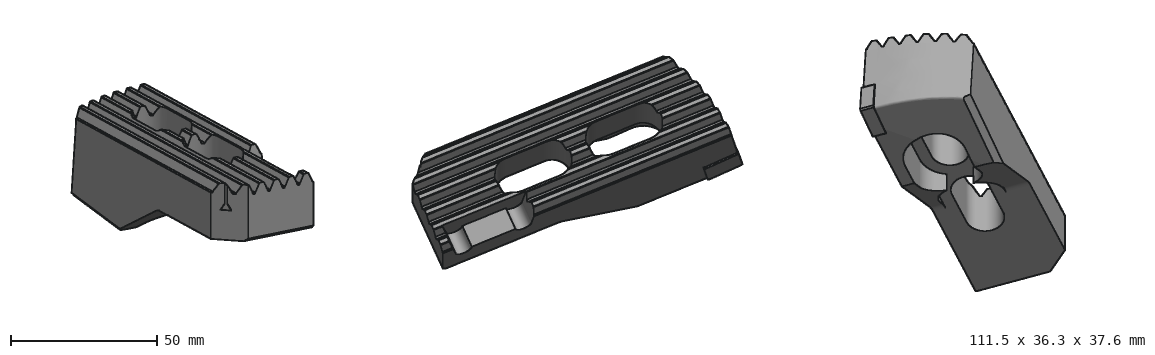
import cadquery as cq
import math

LENGTH = 111.5
JAW_WIDTH = 35.7
TOP_Z = 20.5
FLOOR_Z = -16.6
TILT = 6.3
TILT_RISE = math.tan(math.radians(TILT))

TOOTH_COUNT = 6
TOOTH_PITCH = JAW_WIDTH / TOOTH_COUNT
TOOTH_CREST = 1.6
CREST_BEVEL_WIDTH = 0.2
CREST_BEVEL_DROP = 0.2
VALLEY_WIDTH = 0.9
VALLEY_SAG = 0.5
FLANK_HEIGHT = 3.2
VALLEY_Z = TOP_Z - FLANK_HEIGHT - VALLEY_SAG

LEAN_START_Z = 16.2
FACE_FLAT_Y = 31.5
FACE_REAR_X = 3.7
FACE_FLAT_X = 4.2
FACE_FRONT_X = 13.8
FACE_SAG = 1.9

STEP_X = 67.6
RAMP_ANGLE = 30.0
STEP_RADIUS = 5.6
END_BEVEL = 1.1
CORNER_X = 102.6
CORNER_Y = 9.5
UNDER_FRONT_Z = -12.8
UNDER_FRONT_X = FACE_FRONT_X - (LEAN_START_Z - UNDER_FRONT_Z) * TILT_RISE
UNDER_FRONT_CORNER = (UNDER_FRONT_X, 0, UNDER_FRONT_Z)
UNDER_ROLL_RISE = 0.12
FACE_EDGE_RADIUS = 0.9
EDGE_BEVEL = 2.0

SLOT_CENTERS_X = (37.1, 71.0)
SLOT_Y = 20.1
SLOT_LENGTH = 27.4
SLOT_WIDTH = 13.4
BORE_MARGIN = 4.3
BORE_TOP_Z = 0.0

NOTCH_X = 92.5
NOTCH_TOP_LENGTH = 31.4
NOTCH_BASE_LENGTH = 28.3
NOTCH_DEPTH = 8.9
NOTCH_WIDTH = 8.3
RELIEF_RADIUS = 3.0

MARK_DEPTH = 0.3
MARK_LINE_WIDTH = 0.9
MARK_HEAD_WIDTH = 3.8
MARK_HEAD_TOP_Z = 13.2
MARK_HEAD_BASE_Z = 10.8
MARK_X = 106.1

INSERT_LENGTH = 13.0
INSERT_HEIGHT = 12.6
INSERT_REAR_Y = 36.3
INSERT_WIDTH = INSERT_REAR_Y - FACE_FLAT_Y
INSERT_CORNER_Z = -15.7
INSERT_BEVEL = 0.6
SEAT_OVERRUN = 5.6

CLEAR = 66.9


def side_blank():
    """Side outline with thin end, ramp and thick end, extruded across the width."""
    ramp_run = -FLOOR_Z / math.tan(math.radians(RAMP_ANGLE))
    blank = (
        cq.Workplane("XZ")
        .moveTo(-CLEAR, FLOOR_Z)
        .lineTo(STEP_X - ramp_run, FLOOR_Z)
        .lineTo(STEP_X, 0)
        .lineTo(LENGTH - END_BEVEL, 0)
        .lineTo(LENGTH, END_BEVEL)
        .lineTo(LENGTH, TOP_Z)
        .lineTo(-CLEAR, TOP_Z)
        .close()
        .extrude(-JAW_WIDTH)
    )
    step_edge = cq.selectors.NearestToPointSelector((STEP_X, JAW_WIDTH / 2, 0))
    return blank.edges(step_edge).fillet(STEP_RADIUS)


def tooth_valleys():
    """Valleys to cut between the teeth, including half a valley along both sides."""
    half_gap = (TOOTH_PITCH - TOOTH_CREST) / 2
    bevel_y = half_gap - CREST_BEVEL_WIDTH
    bevel_z = TOP_Z - CREST_BEVEL_DROP
    half_valley = VALLEY_WIDTH / 2
    flank_z = TOP_Z - FLANK_HEIGHT
    valley = (
        cq.Workplane("YZ")
        .moveTo(-half_gap, TOP_Z)
        .lineTo(-bevel_y, bevel_z)
        .lineTo(-half_valley, flank_z)
        .threePointArc((0, VALLEY_Z), (half_valley, flank_z))
        .lineTo(bevel_y, bevel_z)
        .lineTo(half_gap, TOP_Z)
        .close()
        .extrude(LENGTH)
    )
    return [valley.translate((0, i * TOOTH_PITCH, 0)) for i in range(TOOTH_COUNT + 1)]


def plan_outline(x_offset):
    """Plan outline with the curved gripping face and the chamfered back corner."""
    chord_x = FACE_FRONT_X - FACE_FLAT_X
    chord = math.hypot(chord_x, FACE_FLAT_Y)
    bulge_x = (FACE_FLAT_X + FACE_FRONT_X) / 2 - FACE_SAG * FACE_FLAT_Y / chord
    bulge_y = FACE_FLAT_Y / 2 - FACE_SAG * chord_x / chord
    return (
        cq.Workplane("XY")
        .moveTo(FACE_REAR_X + x_offset, JAW_WIDTH)
        .lineTo(FACE_FLAT_X + x_offset, FACE_FLAT_Y)
        .threePointArc((bulge_x + x_offset, bulge_y), (FACE_FRONT_X + x_offset, 0))
        .lineTo(CORNER_X, 0)
        .lineTo(LENGTH, CORNER_Y)
        .lineTo(LENGTH, JAW_WIDTH)
        .close()
    )


def plan_envelope():
    """Upright envelope beside the teeth and a lofted, leaning one below them."""
    upper = plan_outline(0).extrude(TOP_Z - LEAN_START_Z).translate((0, 0, LEAN_START_Z))
    drop = LEAN_START_Z - FLOOR_Z
    bottom = plan_outline(-drop * TILT_RISE).wires().val().translate(cq.Vector(0, 0, FLOOR_Z))
    top = plan_outline(0).wires().val().translate(cq.Vector(0, 0, LEAN_START_Z))
    lower = cq.Workplane(cq.Solid.makeLoft([bottom, top], True))
    return upper.union(lower)


def below_plane(point, normal):
    """Large block on the side of a plane that its normal points to."""
    plane = cq.Plane(origin=point, xDir=(1, 0, -normal[0] / normal[2]), normal=normal)
    return cq.Workplane(plane).rect(4 * CLEAR, 4 * CLEAR).extrude(CLEAR)


def sloping_underside():
    """Block below the underside that falls to the back and rises to the front side."""
    return below_plane(UNDER_FRONT_CORNER, (-TILT_RISE, -UNDER_ROLL_RISE, -1))


def face_bottom_middle():
    """Point near the middle of the lower edge of the curved gripping face."""
    middle_y = FACE_FLAT_Y / 2
    middle_x = UNDER_FRONT_X - (FACE_FRONT_X - FACE_FLAT_X) / 2 - FACE_SAG
    return (middle_x, middle_y, UNDER_FRONT_Z - UNDER_ROLL_RISE * middle_y)


def front_edge_bevel():
    """Block that bevels the front lower edge of the thick end at 45 degrees."""
    bevel_start = (UNDER_FRONT_X, 0, UNDER_FRONT_Z + EDGE_BEVEL)
    return below_plane(bevel_start, (-TILT_RISE, -1, -1))


def bolt_slots():
    """Two through slots, each with a wider counterbore from below."""
    centers = [(x, SLOT_Y) for x in SLOT_CENTERS_X]
    slots = (
        cq.Workplane("XY").workplane(offset=-CLEAR)
        .pushPoints(centers).slot2D(SLOT_LENGTH, SLOT_WIDTH).extrude(2 * CLEAR)
    )
    bore_length = SLOT_LENGTH + 2 * BORE_MARGIN
    bore_width = SLOT_WIDTH + 2 * BORE_MARGIN
    for center in centers:
        bore = (
            cq.Workplane("XY").workplane(offset=BORE_TOP_Z)
            .center(*center).slot2D(bore_length, bore_width).extrude(-CLEAR)
        )
        slots = slots.union(bore)
    return slots


def rear_notch():
    """Flared notch with a half-round relief groove at each end of its floor."""
    floor_z = TOP_Z - NOTCH_DEPTH
    half_top = NOTCH_TOP_LENGTH / 2
    half_base = NOTCH_BASE_LENGTH / 2
    half_land = half_base - 2 * RELIEF_RADIUS
    groove_x = half_base - RELIEF_RADIUS
    groove_z = floor_z - RELIEF_RADIUS
    return (
        cq.Workplane("XZ", origin=(NOTCH_X, JAW_WIDTH, 0))
        .moveTo(-half_top, TOP_Z)
        .lineTo(-half_base, floor_z)
        .threePointArc((-groove_x, groove_z), (-half_land, floor_z))
        .lineTo(half_land, floor_z)
        .threePointArc((groove_x, groove_z), (half_base, floor_z))
        .lineTo(half_top, TOP_Z)
        .close()
        .extrude(NOTCH_WIDTH)
    )


def corner_arrow():
    """Shallow line and triangle engraved in the back corner chamfer."""
    run = LENGTH - CORNER_X
    mark_y = (MARK_X - CORNER_X) * CORNER_Y / run
    face = cq.Plane(origin=(MARK_X, mark_y, 0), xDir=(run, CORNER_Y, 0), normal=(CORNER_Y, -run, 0))
    line_height = TOP_Z - MARK_HEAD_TOP_Z
    line = (
        cq.Workplane(face).center(0, MARK_HEAD_TOP_Z + line_height / 2)
        .rect(MARK_LINE_WIDTH, line_height).extrude(-MARK_DEPTH)
    )
    head = (
        cq.Workplane(face)
        .moveTo(-MARK_HEAD_WIDTH / 2, MARK_HEAD_BASE_Z)
        .lineTo(MARK_HEAD_WIDTH / 2, MARK_HEAD_BASE_Z)
        .lineTo(MARK_LINE_WIDTH / 2, MARK_HEAD_TOP_Z)
        .lineTo(-MARK_LINE_WIDTH / 2, MARK_HEAD_TOP_Z)
        .close()
        .extrude(-MARK_DEPTH)
    )
    return line.union(head)


def place_insert(shape):
    """Lean a shape with the gripping face and move it to the lower rear corner."""
    bevel_shift = INSERT_BEVEL * math.sin(math.radians(TILT))
    corner = (-bevel_shift, FACE_FLAT_Y, INSERT_CORNER_Z)
    return shape.rotate((0, 0, 0), (0, 1, 0), TILT).translate(corner)


def make_insert():
    """Block with bevelled edges that forms the lower rear corner of the gripping face."""
    block = cq.Workplane("XY").box(INSERT_LENGTH, INSERT_WIDTH, INSERT_HEIGHT, centered=False)
    return place_insert(block.edges("|Y").chamfer(INSERT_BEVEL))


def insert_seat():
    """Seat of the insert, open to the front, to the rear side and downwards."""
    seat = cq.Workplane("XY").box(
        INSERT_LENGTH + SEAT_OVERRUN,
        INSERT_WIDTH + SEAT_OVERRUN,
        INSERT_HEIGHT + SEAT_OVERRUN,
        centered=False,
    )
    return place_insert(seat.translate((-SEAT_OVERRUN, 0, -SEAT_OVERRUN)))


def make_jaw():
    """Serrated jaw with its slots, notch, arrow and the seat of the insert."""
    jaw = side_blank().intersect(plan_envelope()).cut(sloping_underside())
    face_edge = cq.selectors.NearestToPointSelector(face_bottom_middle())
    jaw = jaw.edges(face_edge).fillet(FACE_EDGE_RADIUS).cut(front_edge_bevel())
    for valley in tooth_valleys():
        jaw = jaw.cut(valley)
    return jaw.cut(bolt_slots()).cut(rear_notch()).cut(corner_arrow()).cut(insert_seat())


jaw = make_jaw()
insert = make_insert()

result = cq.Compound.makeCompound([*jaw.solids().vals(), *insert.solids().vals()])